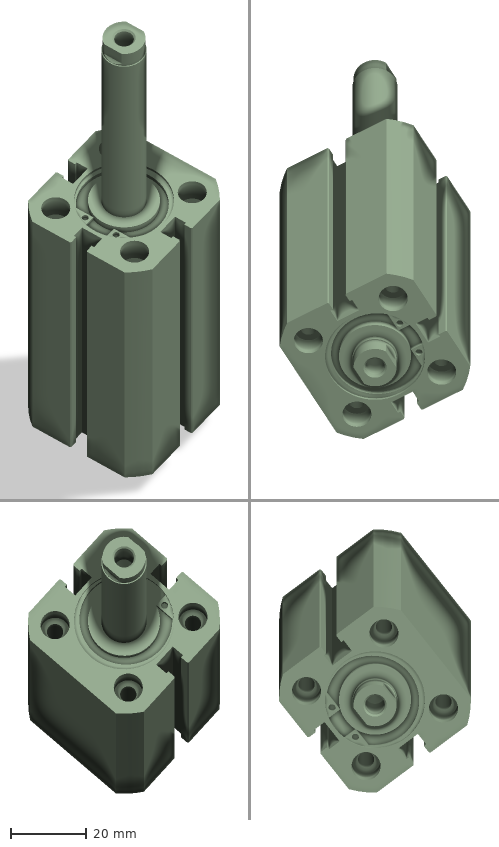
import cadquery as cq
import math

side = 41.0
half_side = side / 2
body_length = 83.1
corner_radius = 25.5
bore_radius = 13.3

groove_radius = 14.0
groove_depth_from_end = 0.8
ring_thickness = 1.2

slot_mouth_width = 5.1
slot_inner_width = 6.7
slot_lip = 2.5
slot_mouth_chamfer = 0.3
slot_floor = 14.4

mount_offset = 13.0
mount_hole_diameter = 4.3
counterbore_diameter = 7.8
counterbore_depth = 7.0

boss_radius = 9.6
collar_length = 12.4
boss_height = groove_depth_from_end + ring_thickness

ring_inner_radius = 12.4
ring_inner_shift = -0.8
ear_top = -9.1
ear_gap = 6.8
ear_hole_x = 5.1
ear_hole_y = -10.5
ear_hole_diameter = 1.9

rod_radius = 6.0
rod_bottom = -6.0
rod_top = 149.0
neck_radius = 5.7
neck_length = 4.8
flat_length = 3.9
across_flats = 9.9
thread_radius = 2.6
thread_depth = 12.0
thread_chamfer = 0.5
drill_tip_length = thread_radius * math.tan(math.radians(30))


def flip(body, middle):
    """Mirror a body about the horizontal plane at height `middle`."""
    return body.mirror("XY", (0, 0, middle))


def make_slot():
    """Cutter for one T-slot that opens on the -Y side."""
    half_mouth = slot_mouth_width / 2
    half_inner = slot_inner_width / 2
    right_side = [
        (half_mouth + slot_mouth_chamfer, -half_side),
        (half_mouth, -half_side + slot_mouth_chamfer),
        (half_mouth, -half_side + slot_lip),
        (half_inner, -half_side + slot_lip),
        (half_inner, -slot_floor),
    ]
    left_side = [(-x, y) for x, y in reversed(right_side)]
    return cq.Workplane("XY").polyline(right_side + left_side).close().extrude(body_length)


def make_groove():
    """Cutter for the snap ring groove at the upper end."""
    top = body_length - groove_depth_from_end
    return cq.Workplane("XY").workplane(offset=top - ring_thickness).circle(groove_radius).extrude(ring_thickness)


def make_housing():
    body = cq.Workplane("XY").rect(side, side).extrude(body_length)
    body = body.intersect(cq.Workplane("XY").circle(corner_radius).extrude(body_length))
    body = body.cut(cq.Workplane("XY").circle(bore_radius).extrude(body_length))

    for angle in (-90, 0, 90):
        body = body.cut(make_slot().rotate((0, 0, 0), (0, 0, 1), angle))

    corners = [(x, y) for x in (-mount_offset, mount_offset) for y in (-mount_offset, mount_offset)]
    holes = cq.Workplane("XY").pushPoints(corners).circle(mount_hole_diameter / 2).extrude(body_length)
    counterbore = (
        cq.Workplane("XY").workplane(offset=body_length - counterbore_depth)
        .pushPoints(corners).circle(counterbore_diameter / 2).extrude(counterbore_depth)
    )
    body = body.cut(holes)
    for cutter in (counterbore, make_groove()):
        body = body.cut(cutter).cut(flip(cutter, body_length / 2))
    return body


def make_collar():
    """Upper collar: a flange under the snap ring with a boss flush with the housing end."""
    flange_length = collar_length - boss_height
    collar = (
        cq.Workplane("XY").workplane(offset=body_length - collar_length)
        .circle(bore_radius).extrude(flange_length)
        .faces(">Z").workplane().circle(boss_radius).extrude(boss_height)
    )
    return collar.cut(cq.Workplane("XY").circle(rod_radius).extrude(body_length))


def make_snap_ring():
    """Upper snap ring: open towards -Y, with two drilled ears beside the gap."""
    opening = groove_radius + ear_top
    blank = cq.Workplane("XY").circle(groove_radius).extrude(ring_thickness)
    inside = cq.Workplane("XY").center(0, ring_inner_shift).circle(ring_inner_radius).extrude(ring_thickness)
    ear_zone = cq.Workplane("XY").box(
        2 * groove_radius, opening, ring_thickness, centered=(True, False, False)
    ).translate((0, -groove_radius, 0))
    gap = cq.Workplane("XY").box(
        ear_gap, groove_radius, ring_thickness, centered=(True, False, False)
    ).translate((0, -groove_radius, 0))
    boss = cq.Workplane("XY").circle(boss_radius).extrude(ring_thickness)
    ear_holes = (
        cq.Workplane("XY").pushPoints([(-ear_hole_x, ear_hole_y), (ear_hole_x, ear_hole_y)])
        .circle(ear_hole_diameter / 2).extrude(ring_thickness)
    )
    ring = blank.cut(inside.cut(ear_zone)).cut(gap).cut(boss).cut(ear_holes)
    return ring.translate((0, 0, body_length - groove_depth_from_end - ring_thickness))


def make_neck():
    """Upper rod end: a cylinder with two wrench flats facing -Y and +Y."""
    flat_y = across_flats / 2
    flat_end = rod_top - flat_length
    slope_run = neck_radius - flat_y
    neck = (
        cq.Workplane("XY").workplane(offset=rod_top - neck_length).circle(neck_radius).extrude(neck_length)
    )
    flat_cutter = (
        cq.Workplane("YZ")
        .moveTo(flat_y, rod_top)
        .lineTo(flat_y, flat_end)
        .lineTo(neck_radius, flat_end - slope_run)
        .lineTo(neck_radius, rod_top)
        .close()
        .extrude(neck_radius, both=True)
    )
    return neck.cut(flat_cutter).cut(flat_cutter.mirror("XZ"))


def make_thread_hole():
    """Cutter for the tapped hole in the upper rod end, with chamfer and drill tip."""
    bottom = rod_top - thread_depth
    return (
        cq.Workplane("XZ")
        .moveTo(0, bottom - drill_tip_length)
        .lineTo(thread_radius, bottom)
        .lineTo(thread_radius, rod_top - thread_chamfer)
        .lineTo(thread_radius + thread_chamfer, rod_top)
        .lineTo(0, rod_top)
        .close()
        .revolve(360, (0, 0, 0), (0, 1, 0))
    )


def make_rod():
    shaft_bottom = rod_bottom + neck_length
    shaft_length = rod_top - neck_length - shaft_bottom
    middle = (rod_bottom + rod_top) / 2
    neck = make_neck()
    thread_hole = make_thread_hole()
    rod = cq.Workplane("XY").workplane(offset=shaft_bottom).circle(rod_radius).extrude(shaft_length)
    rod = rod.union(neck).union(flip(neck, middle))
    return rod.cut(thread_hole).cut(flip(thread_hole, middle))


housing = make_housing()
rod = make_rod()
upper_collar = make_collar()
upper_ring = make_snap_ring()
end_parts = []
for part in (upper_collar, upper_ring):
    end_parts += [part.val(), flip(part, body_length / 2).val()]

result = cq.Compound.makeCompound([housing.val(), rod.val(), *end_parts])